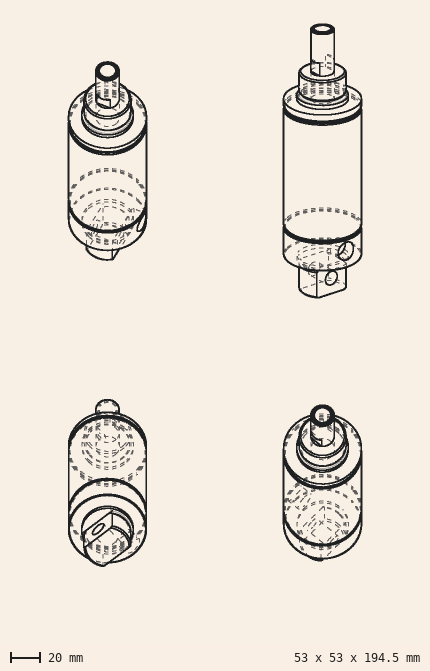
import cadquery as cq
import math

lug_neck_bottom = 19.3
lug_neck_cone_top = 20.8
rear_collar_bottom = 22.5
rear_cap_bottom = 25.5
rear_groove_bottom = 46.1
rear_groove_top = 48.5
front_groove_bottom = 134.6
front_groove_top = 137.5
front_cap_top = 142.2
front_collar_top = 145.1
nose_cone_bottom = 146.9
nose_cone_top = 148.3
nose_top = 162.7
overall_height = 194.5

body_radius = 26.5
collar_radius = 17.5
nose_radius = 16.0
neck_radius = 14.8
nose_chamfer = 1.2
rear_cap_chamfer = 0.5

groove_depth = 1.0
groove_ridge_depth = 0.4

lug_thickness = 19.5
lug_hole_diameter = 10.1
lug_hole_height = 11.7

port_diameter = 13.2
port_height = 38.0
port_depth = 9.7

rod_radius = 8.0
rod_chamfer = 0.8
rod_seat_height = front_cap_top
tip_groove_radius = 6.2
tip_groove_depth = 0.5
flat_spacing = 12.5
flat_length = 9.3

neck_fillet = 1.2
arc_midpoint_share = 1 - math.sqrt(0.5)


def twin_groove_points(bottom, top):
    """Outline points of one twin V groove, from its lower lip to its upper lip."""
    quarter = (top - bottom) / 4
    return [
        (body_radius, bottom),
        (body_radius - groove_depth, bottom + quarter),
        (body_radius - groove_ridge_depth, bottom + 2 * quarter),
        (body_radius - groove_depth, top - quarter),
        (body_radius, top),
    ]


def turned_housing():
    """Revolve the stepped outline of the housing about Z."""
    flare_radius = neck_radius + neck_fillet
    arc_middle_radius = neck_radius + arc_midpoint_share * neck_fillet
    rear_arc_middle = (arc_middle_radius, rear_collar_bottom - arc_midpoint_share * neck_fillet)
    front_arc_middle = (arc_middle_radius, front_collar_top + arc_midpoint_share * neck_fillet)
    outline = (
        cq.Workplane("XZ")
        .moveTo(0, 0)
        .lineTo(nose_radius - nose_chamfer, 0)
        .lineTo(nose_radius, nose_chamfer)
        .lineTo(nose_radius, lug_neck_bottom)
        .lineTo(neck_radius, lug_neck_cone_top)
        .lineTo(neck_radius, rear_collar_bottom - neck_fillet)
        .threePointArc(rear_arc_middle, (flare_radius, rear_collar_bottom))
        .lineTo(collar_radius, rear_collar_bottom)
        .lineTo(collar_radius, rear_cap_bottom)
        .lineTo(body_radius - rear_cap_chamfer, rear_cap_bottom)
        .lineTo(body_radius, rear_cap_bottom + rear_cap_chamfer)
        .polyline(twin_groove_points(rear_groove_bottom, rear_groove_top), includeCurrent=True)
        .polyline(twin_groove_points(front_groove_bottom, front_groove_top), includeCurrent=True)
        .lineTo(body_radius, front_cap_top)
        .lineTo(collar_radius, front_cap_top)
        .lineTo(collar_radius, front_collar_top)
        .lineTo(flare_radius, front_collar_top)
        .threePointArc(front_arc_middle, (neck_radius, front_collar_top + neck_fillet))
        .lineTo(neck_radius, nose_cone_bottom)
        .lineTo(nose_radius, nose_cone_top)
        .lineTo(nose_radius, nose_top - nose_chamfer)
        .lineTo(nose_radius - nose_chamfer, nose_top)
        .lineTo(0, nose_top)
        .close()
    )
    return outline.revolve(360, (0, 0), (0, 1))


def lug_side(direction):
    """Block that trims the lug to one of its flats; direction is +1 or -1 along X."""
    side_width = nose_radius
    return cq.Workplane("XY").box(
        side_width, 2 * body_radius, rear_collar_bottom, centered=(True, True, False)
    ).translate((direction * (lug_thickness + side_width) / 2, 0, 0))


def lug_hole():
    return (
        cq.Workplane("YZ", origin=(0, 0, lug_hole_height))
        .circle(lug_hole_diameter / 2)
        .extrude(lug_thickness, both=True)
    )


def port():
    """Blind radial hole entering from +X."""
    return (
        cq.Workplane("YZ", origin=(body_radius - port_depth, 0, port_height))
        .circle(port_diameter / 2)
        .extrude(port_depth)
    )


def rod_bore():
    """Blind seat for the rod, sunk through the nose."""
    return (
        cq.Workplane("XY", origin=(0, 0, rod_seat_height))
        .circle(rod_radius)
        .extrude(nose_top - rod_seat_height)
    )


def make_housing():
    body = turned_housing()
    for direction in (-1, 1):
        body = body.cut(lug_side(direction))
    return body.cut(lug_hole()).cut(port()).cut(rod_bore())


def turned_rod():
    """Revolve the rod outline; the tip groove has a sloped inner and an upright outer wall."""
    outline = [
        (0, rod_seat_height),
        (rod_radius, rod_seat_height),
        (rod_radius, overall_height - rod_chamfer),
        (rod_radius - rod_chamfer, overall_height),
        (tip_groove_radius, overall_height),
        (tip_groove_radius, overall_height - tip_groove_depth),
        (tip_groove_radius - tip_groove_depth, overall_height),
        (0, overall_height),
    ]
    return cq.Workplane("XZ").polyline(outline).close().revolve(360, (0, 0), (0, 1))


def wrench_flat(direction):
    """Block that cuts one flat just above the nose; direction is +1 or -1 along Y."""
    return cq.Workplane("XY").box(
        2 * rod_radius, rod_radius, flat_length, centered=(True, True, False)
    ).translate((0, direction * (flat_spacing + rod_radius) / 2, nose_top))


def make_rod():
    rod_body = turned_rod()
    for direction in (-1, 1):
        rod_body = rod_body.cut(wrench_flat(direction))
    return rod_body


housing = make_housing()
rod = make_rod()
result = cq.Compound.makeCompound([housing.val(), rod.val()])